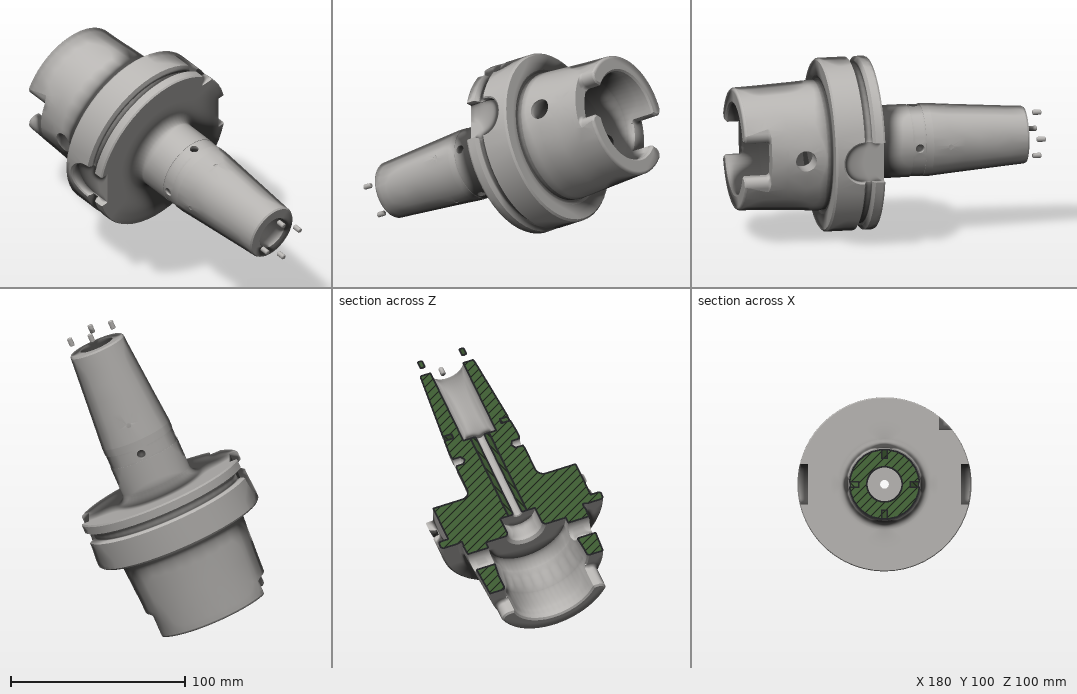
import cadquery as cq
import math


SHANK_LENGTH = 50.0
SHANK_LARGE_RADIUS = 37.75
SHANK_SMALL_RADIUS = 35.35
SHANK_ROUND = 1.7
RELIEF_LENGTH = 2.6
RELIEF_DEPTH = 0.4
RELIEF_RAMP = 1.2
FACE_GROOVE_INNER_RADIUS = 38.5
FACE_GROOVE_OUTER_RADIUS = 40.0
FACE_GROOVE_DEPTH = 0.6

CAVITY_MOUTH_RADIUS = 26.3
CAVITY_FLOOR_RADIUS = 24.5
CAVITY_CONE_START_X = -30.0
CAVITY_CONE_END_X = -15.0
CAVITY_FLOOR_X = -5.0
SHANK_END_CHAMFER = 1.0
THREAD_RADIUS = 10.6
THREAD_CHAMFER = 1.6
THREAD_DEPTH = 13.0

DRIVE_SLOT_HALF_WIDTH = 10.0
DRIVE_SLOT_DEPTHS = {1: 10.0, -1: 15.2}
DRIVE_SLOT_FLARE_RADIUS = 4.6
DRIVE_SLOT_FLARE_CENTRE_Y = 27.3
DRIVE_SLOT_FLARE_DEGREES = 109.0
DRIVE_SLOT_FLARE_RUNOUT = 12.0
DRIVE_SLOT_CUTTER_Y = 45.0
DRIVE_SLOT_FLOOR_FILLET = 1.6
CROSS_HOLE_X = -15.0
CROSS_HOLE_RADIUS = 6.0

FLANGE_RADIUS = 50.0
FLANGE_LENGTH = 29.0
FLANGE_CHAMFER = 1.1
FLANGE_FRONT_CHAMFER = 1.0
FLANGE_FRONT_CHAMFER_HEIGHT = 0.5
GRIP_FLOOR_RADIUS = 46.0
GRIP_BEVEL_RADIUS = 47.5
GRIP_START_X = 17.0
GRIP_FLOOR_START_X = 18.1
GRIP_FLOOR_END_X = 21.9
GRIP_END_X = 23.4

KEYWAY_RADIUS = 11.6
KEYWAY_CENTRE_X = GRIP_START_X
KEYWAY_FLOOR_Y = 44.0
KEYWAY_END_CHAMFER = 0.9

NOTCH_OFFSET = 31.3
NOTCH_START_X = 15.0
NOTCH_CUTTER_RADIUS = 10.3

NECK_RADIUS = 21.0
NECK_FILLET = 5.0
BAND_START_X = 51.2
BAND_END_X = 58.8
BAND_DEPTH = 0.3
NOSE_START_X = 63.2
NOSE_END_X = 120.0
NOSE_TAPER_DEGREES = 4.5
NOSE_CHAMFER_LENGTH = 1.0
NOSE_CHAMFER_HEIGHT = 0.5
TOOL_BORE_RADIUS = 10.0
TOOL_BORE_DEPTH = 52.0

RADIAL_COUNT = 4
BALANCE_HOLE_X = 55.0
BALANCE_HOLE_RADIUS = 2.5
BALANCE_HOLE_DEPTH = 5.0
DRILL_TIP_DEGREES = 118.0
SIDE_PLUG_X = 73.2
SIDE_PLUG_RADIUS = 1.4
SIDE_PLUG_INNER_RADIUS = 15.0
SIDE_PLUG_RECESS = 0.3

STOP_SCREW_RADIUS = 5.5
STOP_SCREW_BORE_RADIUS = 2.5
STOP_SCREW_BORE_CHAMFER = 0.6

COOLANT_SCREW_RADIUS = 1.5
COOLANT_SCREW_LENGTH = 5.0
COOLANT_SCREW_CHAMFER = 0.4
COOLANT_SCREW_END_X = 129.98
COOLANT_SCREW_CIRCLE_RADIUS = 12.8

stop_screw_start_x = CAVITY_FLOOR_X + THREAD_DEPTH
tool_bore_floor_x = NOSE_END_X - TOOL_BORE_DEPTH


def nose_radius_at(x):
    return NECK_RADIUS - (x - NOSE_START_X) * math.tan(math.radians(NOSE_TAPER_DEGREES))


def revolve_about_x(profile):
    return profile.close().revolve(360, (0, 0, 0), (1, 0, 0))


def cylinder_along_x(radius, start_x, end_x):
    return cq.Workplane("YZ").workplane(offset=start_x).circle(radius).extrude(end_x - start_x)


def around_axis(body):
    """Copies of a body spaced evenly about the X axis."""
    step = 360 / RADIAL_COUNT
    return [body.rotate((0, 0, 0), (1, 0, 0), i * step) for i in range(RADIAL_COUNT)]


def holder_outside():
    shank_end = -SHANK_LENGTH
    relief_radius = SHANK_LARGE_RADIUS - RELIEF_DEPTH
    band_radius = NECK_RADIUS - BAND_DEPTH
    fillet_mid = NECK_FILLET * (1 - math.sqrt(0.5))
    profile = (
        cq.Workplane("XY")
        .moveTo(shank_end, 0)
        .lineTo(shank_end, SHANK_SMALL_RADIUS - SHANK_ROUND)
        .radiusArc((shank_end + SHANK_ROUND, SHANK_SMALL_RADIUS), SHANK_ROUND)
        .lineTo(-RELIEF_LENGTH, SHANK_LARGE_RADIUS)
        .lineTo(-RELIEF_LENGTH + RELIEF_RAMP, relief_radius)
        .lineTo(FACE_GROOVE_DEPTH, relief_radius)
        .lineTo(FACE_GROOVE_DEPTH, FACE_GROOVE_INNER_RADIUS)
        .lineTo(0, FACE_GROOVE_OUTER_RADIUS)
        .lineTo(0, FLANGE_RADIUS - FLANGE_CHAMFER)
        .lineTo(FLANGE_CHAMFER, FLANGE_RADIUS)
        .lineTo(GRIP_START_X, FLANGE_RADIUS)
        .lineTo(GRIP_FLOOR_START_X, GRIP_BEVEL_RADIUS)
        .lineTo(GRIP_FLOOR_START_X, GRIP_FLOOR_RADIUS)
        .lineTo(GRIP_FLOOR_END_X, GRIP_FLOOR_RADIUS)
        .lineTo(GRIP_FLOOR_END_X, GRIP_BEVEL_RADIUS)
        .lineTo(GRIP_END_X, FLANGE_RADIUS)
        .lineTo(FLANGE_LENGTH - FLANGE_FRONT_CHAMFER, FLANGE_RADIUS)
        .lineTo(FLANGE_LENGTH, FLANGE_RADIUS - FLANGE_FRONT_CHAMFER_HEIGHT)
        .lineTo(FLANGE_LENGTH, NECK_RADIUS + NECK_FILLET)
        .threePointArc(
            (FLANGE_LENGTH + fillet_mid, NECK_RADIUS + fillet_mid),
            (FLANGE_LENGTH + NECK_FILLET, NECK_RADIUS),
        )
        .lineTo(BAND_START_X, NECK_RADIUS)
        .lineTo(BAND_START_X, band_radius)
        .lineTo(BAND_END_X, band_radius)
        .lineTo(BAND_END_X, NECK_RADIUS)
        .lineTo(NOSE_START_X, NECK_RADIUS)
        .lineTo(NOSE_END_X - NOSE_CHAMFER_LENGTH, nose_radius_at(NOSE_END_X - NOSE_CHAMFER_LENGTH))
        .lineTo(NOSE_END_X, nose_radius_at(NOSE_END_X) - NOSE_CHAMFER_HEIGHT)
        .lineTo(NOSE_END_X, 0)
    )
    return revolve_about_x(profile)


def holder_cavity():
    """Clamping cavity with the threaded recess in its floor."""
    profile = (
        cq.Workplane("XY")
        .moveTo(-SHANK_LENGTH, 0)
        .lineTo(-SHANK_LENGTH, CAVITY_MOUTH_RADIUS)
        .lineTo(CAVITY_CONE_START_X, CAVITY_MOUTH_RADIUS)
        .lineTo(CAVITY_CONE_END_X, CAVITY_FLOOR_RADIUS)
        .lineTo(CAVITY_FLOOR_X, CAVITY_FLOOR_RADIUS)
        .lineTo(CAVITY_FLOOR_X, THREAD_RADIUS + THREAD_CHAMFER)
        .lineTo(CAVITY_FLOOR_X + THREAD_CHAMFER, THREAD_RADIUS)
        .lineTo(stop_screw_start_x, THREAD_RADIUS)
        .lineTo(stop_screw_start_x, 0)
    )
    return revolve_about_x(profile)


def cavity_edge_chamfer(start_x):
    """Cone that chamfers the edge between the cavity wall and a face at the given X."""
    profile = (
        cq.Workplane("XY")
        .moveTo(start_x, 0)
        .lineTo(start_x, CAVITY_MOUTH_RADIUS + SHANK_END_CHAMFER)
        .lineTo(start_x + SHANK_END_CHAMFER, CAVITY_MOUTH_RADIUS)
        .lineTo(start_x + SHANK_END_CHAMFER, 0)
    )
    return revolve_about_x(profile)


def drive_slot_outline(start_x, growth):
    """Slot outline on the +Y side; each wall turns outwards in an arc and runs out along its tangent.

    Growth moves the outline into the shank wall by the same distance all along it.
    """
    half = DRIVE_SLOT_HALF_WIDTH + growth
    radius = DRIVE_SLOT_FLARE_RADIUS - growth
    centre_y = DRIVE_SLOT_FLARE_CENTRE_Y
    centre_z = half + radius

    def arc_point(degrees):
        angle = math.radians(degrees)
        return centre_y + radius * math.sin(angle), centre_z - radius * math.cos(angle)

    arc_middle = arc_point(DRIVE_SLOT_FLARE_DEGREES / 2)
    arc_end = arc_point(DRIVE_SLOT_FLARE_DEGREES)
    end_angle = math.radians(DRIVE_SLOT_FLARE_DEGREES)
    runout = (
        arc_end[0] + DRIVE_SLOT_FLARE_RUNOUT * math.cos(end_angle),
        arc_end[1] + DRIVE_SLOT_FLARE_RUNOUT * math.sin(end_angle),
    )
    return (
        cq.Workplane("YZ")
        .workplane(offset=start_x)
        .moveTo(0, half)
        .lineTo(centre_y, half)
        .threePointArc(arc_middle, arc_end)
        .lineTo(*runout)
        .lineTo(DRIVE_SLOT_CUTTER_Y, runout[1])
        .lineTo(DRIVE_SLOT_CUTTER_Y, -runout[1])
        .lineTo(runout[0], -runout[1])
        .lineTo(arc_end[0], -arc_end[1])
        .threePointArc((arc_middle[0], -arc_middle[1]), (centre_y, -half))
        .lineTo(0, -half)
        .close()
    )


def drive_slot(side):
    """Slot through the shank wall on one Y side, with a filleted floor and chamfered edges."""
    depth = DRIVE_SLOT_DEPTHS[side]
    floor_x = -SHANK_LENGTH + depth
    mouth_chamfer = drive_slot_outline(-SHANK_LENGTH, SHANK_END_CHAMFER).extrude(SHANK_END_CHAMFER, taper=45)
    slot = drive_slot_outline(-SHANK_LENGTH, 0).extrude(depth)
    slot = slot.faces(">X").edges("not (<Y or >Y or <Z or >Z)").fillet(DRIVE_SLOT_FLOOR_FILLET)
    floor_width = 2 * (DRIVE_SLOT_HALF_WIDTH - DRIVE_SLOT_FLOOR_FILLET)
    floor_region = cq.Workplane("XY").box(
        SHANK_LENGTH, DRIVE_SLOT_CUTTER_Y, floor_width, centered=(True, False, True)
    ).translate((floor_x, 0, 0))
    slot = slot.union(mouth_chamfer).union(cavity_edge_chamfer(floor_x).intersect(floor_region))
    return slot if side > 0 else slot.mirror("XZ")


def keyway(side):
    """Cutter for one keyway: a round pocket with a chamfered rim, opened to the front of the flange."""
    stock = cylinder_along_x(FLANGE_RADIUS, 0, 2 * KEYWAY_CENTRE_X)
    pocket = (
        cq.Workplane("XZ", origin=(KEYWAY_CENTRE_X, -KEYWAY_FLOOR_Y, 0))
        .circle(KEYWAY_RADIUS)
        .extrude(FLANGE_RADIUS - KEYWAY_FLOOR_Y)
    )
    pocket_middle_y = -(FLANGE_RADIUS + KEYWAY_FLOOR_Y) / 2
    rim = cq.selectors.BoxSelector(
        (0, -FLANGE_RADIUS, -KEYWAY_RADIUS),
        (2 * KEYWAY_CENTRE_X, pocket_middle_y, KEYWAY_RADIUS),
    )
    pocketed_stock = (
        stock.cut(pocket)
        .faces("%CYLINDER")
        .edges(rim)
        .edges("not %LINE")
        .chamfer(KEYWAY_END_CHAMFER)
    )
    rounded_end = stock.cut(pocketed_stock)
    opening = (
        cq.Workplane("XZ", origin=(KEYWAY_CENTRE_X, -KEYWAY_FLOOR_Y, -KEYWAY_RADIUS))
        .rect(FLANGE_LENGTH - KEYWAY_CENTRE_X, 2 * KEYWAY_RADIUS, centered=False)
        .extrude(FLANGE_RADIUS - KEYWAY_FLOOR_Y)
    )
    cutter = rounded_end.union(opening)
    return cutter if side < 0 else cutter.mirror("XZ")


def orientation_notch():
    reach = FLANGE_RADIUS - NOTCH_OFFSET
    cutter_centre_z = NOTCH_OFFSET + NOTCH_CUTTER_RADIUS
    return (
        cq.Workplane("XZ", origin=(0, NOTCH_OFFSET, 0))
        .moveTo(FLANGE_LENGTH, NOTCH_OFFSET)
        .lineTo(NOTCH_START_X, NOTCH_OFFSET)
        .radiusArc((NOTCH_START_X - NOTCH_CUTTER_RADIUS, cutter_centre_z), NOTCH_CUTTER_RADIUS)
        .lineTo(NOTCH_START_X - NOTCH_CUTTER_RADIUS, FLANGE_RADIUS)
        .lineTo(FLANGE_LENGTH, FLANGE_RADIUS)
        .close()
        .extrude(-reach)
    )


def balance_hole():
    """Drilled hole along +Z with a conical bottom."""
    floor_z = NECK_RADIUS - BALANCE_HOLE_DEPTH
    tip_z = floor_z - BALANCE_HOLE_RADIUS / math.tan(math.radians(DRILL_TIP_DEGREES / 2))
    return (
        cq.Workplane("XZ")
        .moveTo(0, tip_z)
        .lineTo(BALANCE_HOLE_RADIUS, floor_z)
        .lineTo(BALANCE_HOLE_RADIUS, NECK_RADIUS)
        .lineTo(0, NECK_RADIUS)
        .close()
        .revolve(360, (0, 0, 0), (0, 1, 0))
        .translate((BALANCE_HOLE_X, 0, 0))
    )


def side_cylinder(outer_radius):
    """Radial cylinder along +Z for a side plug or its hole."""
    return (
        cq.Workplane("XY", origin=(SIDE_PLUG_X, 0, SIDE_PLUG_INNER_RADIUS))
        .circle(SIDE_PLUG_RADIUS)
        .extrude(outer_radius - SIDE_PLUG_INNER_RADIUS)
    )


def make_holder():
    holder = holder_outside().cut(holder_cavity()).cut(cavity_edge_chamfer(-SHANK_LENGTH))
    for side in (1, -1):
        holder = holder.cut(drive_slot(side))
        holder = holder.cut(keyway(side))
    holder = holder.cut(orientation_notch())
    cross_hole = (
        cq.Workplane("XZ")
        .center(CROSS_HOLE_X, 0)
        .circle(CROSS_HOLE_RADIUS)
        .extrude(SHANK_LARGE_RADIUS, both=True)
    )
    holder = holder.cut(cross_hole)
    holder = holder.cut(cylinder_along_x(STOP_SCREW_RADIUS, stop_screw_start_x, tool_bore_floor_x))
    holder = holder.cut(cylinder_along_x(TOOL_BORE_RADIUS, tool_bore_floor_x, NOSE_END_X))
    for hole in around_axis(balance_hole()) + around_axis(side_cylinder(NECK_RADIUS)):
        holder = holder.cut(hole)
    return holder


def make_stop_screw():
    screw = cylinder_along_x(STOP_SCREW_RADIUS, stop_screw_start_x, tool_bore_floor_x)
    bore = cylinder_along_x(STOP_SCREW_BORE_RADIUS, stop_screw_start_x, tool_bore_floor_x)
    bore_rim = cq.selectors.RadiusNthSelector(0)
    return screw.cut(bore).faces("<X").edges(bore_rim).chamfer(STOP_SCREW_BORE_CHAMFER)


def make_side_plugs():
    return around_axis(side_cylinder(nose_radius_at(SIDE_PLUG_X) - SIDE_PLUG_RECESS))


def make_coolant_screws():
    start_x = COOLANT_SCREW_END_X - COOLANT_SCREW_LENGTH
    screw = (
        cylinder_along_x(COOLANT_SCREW_RADIUS, start_x, COOLANT_SCREW_END_X)
        .faces("<X or >X")
        .chamfer(COOLANT_SCREW_CHAMFER)
        .translate((0, 0, COOLANT_SCREW_CIRCLE_RADIUS))
    )
    return around_axis(screw)


holder = make_holder()
stop_screw = make_stop_screw()
side_plugs = make_side_plugs()
coolant_screws = make_coolant_screws()

result = cq.Compound.makeCompound([
    holder.val(),
    stop_screw.val(),
    *[plug.val() for plug in side_plugs],
    *[screw.val() for screw in coolant_screws],
])